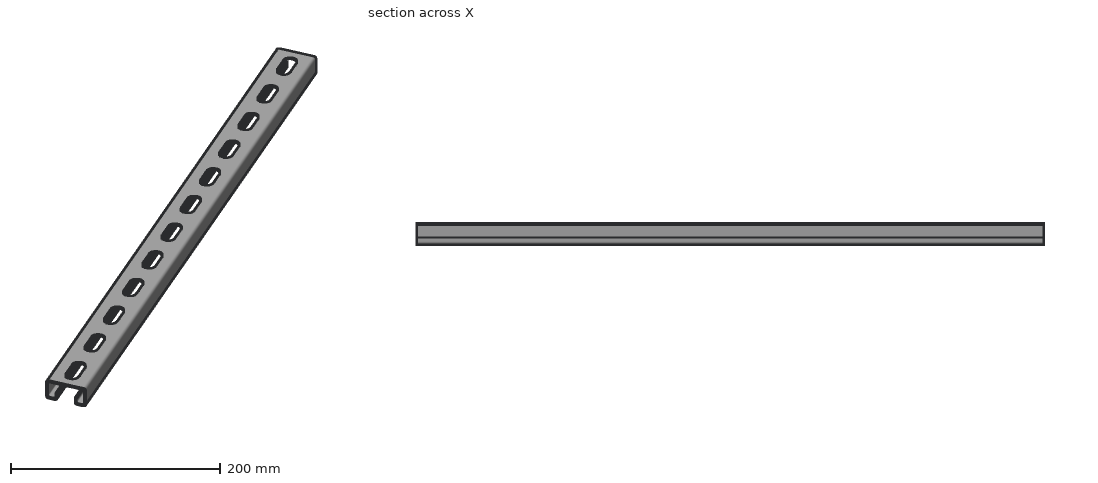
import cadquery as cq

length = 600.0
width = 41.0
height = 21.0
wall = 2.0
opening = 18.0
lip_height = 7.0
bend_radius = 3.0
inner_bend_radius = bend_radius - wall

slot_count = 12
slot_width = 13.0
slot_length = 30.0
slot_pitch = length / slot_count

half_width = width / 2
half_opening = opening / 2
top = height / 2
bottom = -height / 2


def channel_body():
    """Bent sheet section swept along Y and centred on the origin."""
    lip_outer = half_opening + wall
    section = (
        cq.Workplane("XZ")
        .moveTo(-half_width, bottom)
        .lineTo(-half_width, top)
        .lineTo(half_width, top)
        .lineTo(half_width, bottom)
        .lineTo(half_opening, bottom)
        .lineTo(half_opening, bottom + lip_height)
        .lineTo(lip_outer, bottom + lip_height)
        .lineTo(lip_outer, bottom + wall)
        .lineTo(half_width - wall, bottom + wall)
        .lineTo(half_width - wall, top - wall)
        .lineTo(-half_width + wall, top - wall)
        .lineTo(-half_width + wall, bottom + wall)
        .lineTo(-lip_outer, bottom + wall)
        .lineTo(-lip_outer, bottom + lip_height)
        .lineTo(-half_opening, bottom + lip_height)
        .lineTo(-half_opening, bottom)
        .close()
    )
    return section.extrude(length / 2, both=True)


def bend_edges(body, left, right, low, high):
    """Lengthwise edges at the four bend corners given by their X and Z places."""
    edges = body.edges("|Y")
    corners = [(x, z) for x in (left, right) for z in (low, high)]

    def at_corner(edge):
        centre = edge.Center()
        tolerance = 0.0005
        return any(abs(centre.x - x) < tolerance and abs(centre.z - z) < tolerance for x, z in corners)

    return edges.filter(at_corner)


def round_bends(body):
    """Round both faces of the sheet at every bend."""
    for side in (-1, 1):
        body = bend_edges(body, side * half_width, side * half_opening, bottom, top).fillet(bend_radius)
        inner_wall = side * (half_width - wall)
        inner_lip = side * (half_opening + wall)
        body = bend_edges(body, inner_wall, inner_lip, bottom + wall, top - wall).fillet(inner_bend_radius)
    return body


def web_slots():
    """Row of round-ended slots through the web, evenly pitched along Y."""
    return (
        cq.Workplane("XY", origin=(0, 0, top - wall))
        .rarray(6, slot_pitch, 1, slot_count)
        .slot2D(slot_length, slot_width, 90)
        .extrude(wall)
    )


result = round_bends(channel_body()).cut(web_slots())